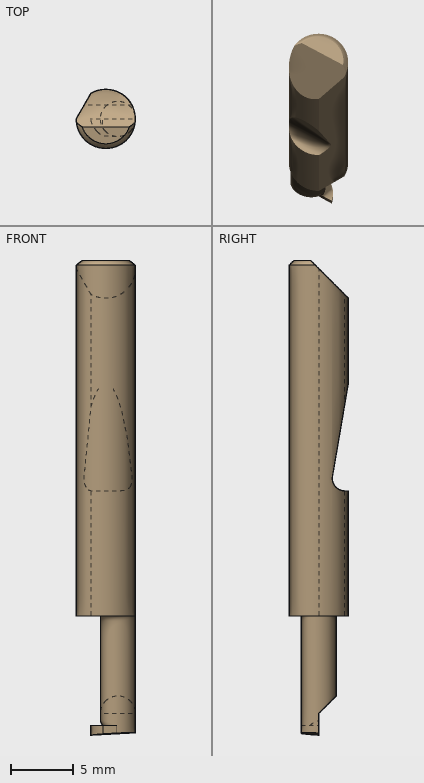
import cadquery as cq
import math

total_length = 38.1
shank_diameter = 4.75
shank_radius = shank_diameter / 2
shoulder_z = 9.55
oversize = 2 * shank_diameter

end_chamfer = 0.4
end_bevel_start_y = -0.65

flat_normal_angle = 150.0
flat_distance = shank_radius * math.cos(math.radians(30))

notch_floor_z = 19.62
notch_top_z = 28.25
notch_root_y = 0.9
notch_fillet = 1.0

neck_diameter = 2.82
neck_radius = neck_diameter / 2
neck_x = shank_radius - neck_radius
rake_y = 0.0
rake_ramp_end_z = 1.75

head_height = 0.8
tip_x = -1.22
heel_x = -0.23
heel_y = -1.37
flank_bulge = 0.2
neck_relief_height = 0.35
neck_relief_depth = 0.17
tip_clearance = 0.15


def extrude_along_x(profile):
    """Extrude a YZ profile symmetrically, wider than the part."""
    return profile.extrude(oversize, both=True)


def make_shank():
    shank = cq.Workplane("XY").workplane(offset=shoulder_z).circle(shank_radius)
    return shank.extrude(total_length - shoulder_z).faces(">Z").chamfer(end_chamfer)


def make_end_bevel():
    profile = (
        cq.Workplane("YZ")
        .moveTo(end_bevel_start_y, total_length)
        .lineTo(end_bevel_start_y + oversize, total_length - oversize)
        .lineTo(end_bevel_start_y + oversize, total_length)
        .close()
    )
    return extrude_along_x(profile)


def make_side_flat():
    return (
        cq.Workplane("XY")
        .box(oversize, oversize, total_length, centered=(False, True, False))
        .translate((flat_distance, 0, shoulder_z))
        .rotate((0, 0, 0), (0, 0, 1), flat_normal_angle)
    )


def make_notch():
    wall_slope = (shank_radius - notch_root_y) / (notch_top_z - notch_floor_z)
    wall_angle = math.atan(wall_slope)
    corner_half_angle = (math.pi / 2 - wall_angle) / 2
    tangent_length = notch_fillet / math.tan(corner_half_angle)
    center_distance = notch_fillet / math.sin(corner_half_angle)
    floor_tangent = (notch_root_y + tangent_length, notch_floor_z)
    wall_tangent = (
        notch_root_y + tangent_length * math.sin(wall_angle),
        notch_floor_z + tangent_length * math.cos(wall_angle),
    )
    arc_middle = (
        notch_root_y + (center_distance - notch_fillet) * math.cos(corner_half_angle),
        notch_floor_z + (center_distance - notch_fillet) * math.sin(corner_half_angle),
    )
    outer_y = 2 * shank_radius
    outer_z = notch_top_z + (outer_y - shank_radius) / wall_slope
    profile = (
        cq.Workplane("YZ")
        .moveTo(outer_y, notch_floor_z)
        .lineTo(*floor_tangent)
        .threePointArc(arc_middle, wall_tangent)
        .lineTo(shank_radius, notch_top_z)
        .lineTo(outer_y, outer_z)
        .close()
    )
    return extrude_along_x(profile)


def make_neck():
    neck = cq.Workplane("XY").center(neck_x, 0).circle(neck_radius).extrude(shoulder_z)
    ramp = (
        cq.Workplane("YZ")
        .moveTo(rake_y, -oversize)
        .lineTo(rake_y, rake_ramp_end_z)
        .lineTo(rake_y + oversize, rake_ramp_end_z + oversize)
        .lineTo(rake_y + oversize, -oversize)
        .close()
    )
    neck_left = neck_x - neck_radius
    relief = (
        cq.Workplane("XZ")
        .moveTo(neck_left, head_height + neck_relief_height)
        .lineTo(neck_left + neck_relief_depth, head_height)
        .lineTo(neck_left, head_height)
        .close()
        .extrude(oversize, both=True)
    )
    return neck.cut(extrude_along_x(ramp)).cut(relief)


def make_head():
    return (
        cq.Workplane("XY")
        .moveTo(neck_x, rake_y)
        .lineTo(tip_x, rake_y)
        .sagittaArc((heel_x, heel_y), -flank_bulge)
        .lineTo(neck_x, -neck_radius)
        .close()
        .extrude(head_height)
    )


def make_tip_clearance():
    """Block below an end face that rises toward +X and -Y from the tip."""
    rise = tip_clearance / neck_diameter
    end_plane = cq.Plane(origin=(tip_x, rake_y, 0), xDir=(1, 0, rise), normal=(-rise, rise, 1))
    return cq.Workplane(end_plane).rect(2 * oversize, 2 * oversize).extrude(-shank_diameter)


shank = make_shank().cut(make_end_bevel()).cut(make_side_flat()).cut(make_notch())
tool_end = make_neck().union(make_head()).cut(make_tip_clearance())
result = shank.union(tool_end)